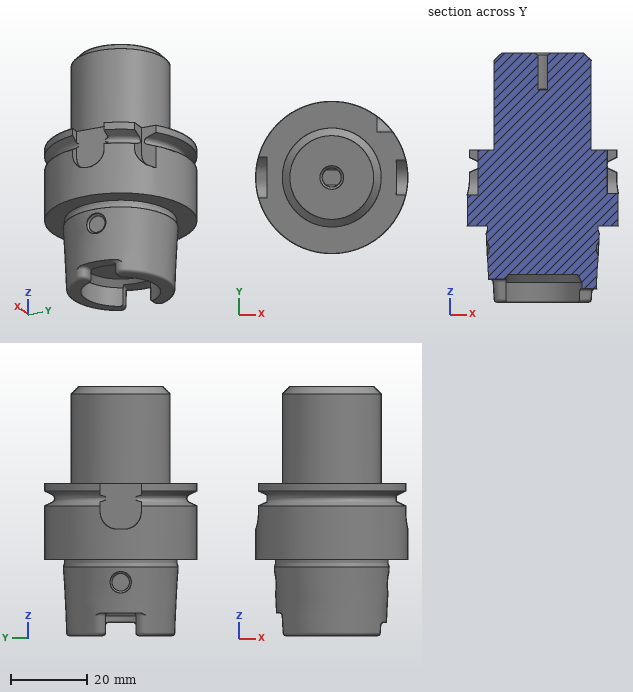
import cadquery as cq
import math

flange_height = 20.0
shank_top = 45.5
taper_bottom = -20.0

shank_diameter = 26.0
shank_chamfer = 2.0
top_hole_diameter = 5.0
top_hole_mouth_diameter = 6.2
top_hole_depth = 10.0
top_hole_floor_width = 3.9

flange_diameter = 40.0
groove_height = 16.05
groove_mouth_half_width = 1.95
groove_diameter = 34.8
groove_flank_angle = 26.0
groove_fillet = 1.0

slot_bottom = 8.0
slot_floor_distance = 17.0
wide_slot_width = 10.8
wide_slot_corner_radius = 4.5
narrow_slot_width = 9.2
notch_corner = 11.9

neck_diameter = 29.6
neck_height = 1.0
taper_diameter = 30.2
taper_start = -2.0
taper_ratio = 10.0
taper_end_radius = 0.8
bore_diameter = 21.0
bore_straight_depth = 5.25
bore_cone_height = 2.0
bore_cone_angle = 30.0

side_hole_floor_diameter = 4.6
side_hole_mouth_diameter = 5.6
side_hole_height = -5.95

drive_slot_width = 8.0
drive_slot_mouth_radius = 1.85
drive_slot_top_radius = 0.8
drive_slot_flare_length = 2.5
left_drive_slot_top = -14.0
right_drive_slot_top = -16.5

flange_radius = flange_diameter / 2
overshoot = 5.0
radius_slope = 0.5 / taper_ratio


def taper_radius(z):
    return taper_diameter / 2 - (taper_start - z) * radius_slope


def turned_body():
    """Solid shank, flange and taper, turned about Z."""
    profile = (
        cq.Workplane("XZ")
        .moveTo(0, taper_bottom)
        .lineTo(taper_radius(taper_bottom), taper_bottom)
        .lineTo(taper_diameter / 2, taper_start)
        .lineTo(neck_diameter / 2, -neck_height)
        .lineTo(neck_diameter / 2, 0)
        .lineTo(flange_radius, 0)
        .lineTo(flange_radius, flange_height)
        .lineTo(shank_diameter / 2, flange_height)
        .lineTo(shank_diameter / 2, shank_top)
        .lineTo(0, shank_top)
        .close()
    )
    body = profile.revolve(360, (0, 0, 0), (0, 1, 0))
    return body.faces(">Z").edges().chamfer(shank_chamfer)


def end_bore():
    """Bore in the open end of the taper, narrowing in a cone at its inner end."""
    radius = bore_diameter / 2
    cone_start = taper_bottom + bore_straight_depth
    inner_end = cone_start + bore_cone_height
    inner_radius = radius - bore_cone_height * math.tan(math.radians(bore_cone_angle))
    return (
        cq.Workplane("XZ")
        .moveTo(0, taper_bottom)
        .lineTo(radius, taper_bottom)
        .lineTo(radius, cone_start)
        .lineTo(inner_radius, inner_end)
        .lineTo(0, inner_end)
        .close()
        .revolve(360, (0, 0, 0), (0, 1, 0))
    )


def gripper_groove():
    """Ring of V section with a rounded root."""
    root_radius = groove_diameter / 2
    flank_rise = (flange_radius - root_radius) * math.tan(math.radians(groove_flank_angle))
    root_half_width = groove_mouth_half_width - flank_rise
    outer_radius = flange_radius + overshoot
    ring = (
        cq.Workplane("XZ")
        .moveTo(root_radius, groove_height - root_half_width)
        .lineTo(flange_radius, groove_height - groove_mouth_half_width)
        .lineTo(outer_radius, groove_height - groove_mouth_half_width)
        .lineTo(outer_radius, groove_height + groove_mouth_half_width)
        .lineTo(flange_radius, groove_height + groove_mouth_half_width)
        .lineTo(root_radius, groove_height + root_half_width)
        .close()
        .revolve(360, (0, 0, 0), (0, 1, 0))
    )
    root = cq.selectors.RadiusNthSelector(0)
    return ring.edges(root).fillet(groove_fillet)


def rim_slot(x_start, y_center, width, corner_radius):
    """Slot running outward along X, open at the flange top, with rounded bottom corners."""
    length = flange_radius + overshoot - abs(x_start)
    half_width = width / 2
    floor_half_width = half_width - corner_radius
    corner_top = slot_bottom + corner_radius
    slot_top = flange_height + overshoot
    section = (
        cq.Workplane("YZ")
        .workplane(offset=x_start)
        .moveTo(y_center - half_width, slot_top)
        .lineTo(y_center - half_width, corner_top)
        .radiusArc((y_center - floor_half_width, slot_bottom), -corner_radius)
    )
    if floor_half_width > 0:
        section = section.lineTo(y_center + floor_half_width, slot_bottom)
    section = (
        section.radiusArc((y_center + half_width, corner_top), -corner_radius)
        .lineTo(y_center + half_width, slot_top)
        .close()
    )
    return section.extrude(math.copysign(length, x_start))


def top_hole():
    """Blind hole with a conical mouth; two bevels narrow its floor to a strip along X."""
    radius = top_hole_diameter / 2
    bevel = radius - top_hole_floor_width / 2
    mouth_depth = (top_hole_mouth_diameter - top_hole_diameter) / 2
    trough = (
        cq.Workplane("XY")
        .workplane(offset=shank_top - top_hole_depth)
        .rect(top_hole_diameter, top_hole_diameter)
        .extrude(top_hole_depth)
        .edges("|X and <Z")
        .chamfer(bevel)
    )
    bore = cq.Workplane("XY").workplane(offset=shank_top).circle(radius).extrude(-top_hole_depth)
    mouth = cq.Solid.makeCone(
        radius, top_hole_mouth_diameter / 2, mouth_depth, cq.Vector(0, 0, shank_top - mouth_depth)
    )
    return bore.intersect(trough).union(cq.Workplane(mouth))


def side_hole():
    """Shallow conical recess with a flat floor on the +X side of the taper."""
    radius = side_hole_floor_diameter / 2
    mouth_radius = side_hole_mouth_diameter / 2
    surface = taper_radius(side_hole_height)
    rim = math.sqrt(surface**2 - mouth_radius**2)
    floor = rim - (mouth_radius - radius)
    return (
        cq.Workplane("XZ")
        .moveTo(floor, side_hole_height)
        .lineTo(floor, side_hole_height + radius)
        .lineTo(rim, side_hole_height + mouth_radius)
        .lineTo(surface + overshoot, side_hole_height + mouth_radius)
        .lineTo(surface + overshoot, side_hole_height)
        .close()
        .revolve(360, (0, side_hole_height, 0), (1, side_hole_height, 0))
    )


def drive_slot(slot_top):
    """Slot on the +X side whose walls roll outward into the taper surface."""
    half_width = drive_slot_width / 2
    radius = drive_slot_mouth_radius
    end_radius = taper_radius(taper_bottom)
    arc_y = half_width + radius
    arc_x = math.sqrt((end_radius - radius) ** 2 - arc_y**2)
    outward = math.atan2(arc_y, arc_x)
    middle_angle = (outward - math.pi / 2) / 2

    def arc_point(angle, side):
        return (arc_x + radius * math.cos(angle), side * (arc_y + radius * math.sin(angle)))

    tangent_x, tangent_y = arc_point(outward, 1)
    flare_x = tangent_x - drive_slot_flare_length * math.sin(outward)
    flare_y = tangent_y + drive_slot_flare_length * math.cos(outward)
    far_x = end_radius + overshoot
    lean = math.degrees(math.atan(radius_slope / math.cos(outward)))
    profile = (
        cq.Workplane("XY")
        .workplane(offset=taper_bottom - overshoot)
        .moveTo(0, -half_width)
        .lineTo(arc_x, -half_width)
        .threePointArc(arc_point(middle_angle, -1), arc_point(outward, -1))
        .lineTo(flare_x, -flare_y)
        .lineTo(far_x, -flare_y)
        .lineTo(far_x, flare_y)
        .lineTo(flare_x, flare_y)
        .lineTo(tangent_x, tangent_y)
        .threePointArc(arc_point(middle_angle, 1), (arc_x, half_width))
        .lineTo(0, half_width)
        .close()
    )
    cutter_height = 2 * (slot_top - taper_bottom + overshoot)
    cutter = profile.extrude(cutter_height).rotate(
        (end_radius, 0, taper_bottom), (end_radius, 1, taper_bottom), lean
    )
    block_width = 2 * flange_diameter
    below_top = (
        cq.Workplane("XY").workplane(offset=slot_top).rect(block_width, block_width).extrude(-cutter_height)
    )
    return cutter.intersect(below_top).faces(">Z").edges().fillet(drive_slot_top_radius)


def on_left(cutter):
    """Turn a +X side cutter over to the -X side."""
    return cutter.rotate((0, 0, 0), (0, 0, 1), 180)


narrow_radius = narrow_slot_width / 2
notch_center = notch_corner + narrow_radius
result = turned_body().cut(drive_slot(right_drive_slot_top))
result = result.cut(on_left(drive_slot(left_drive_slot_top)))
result = result.faces("<Z").edges().fillet(taper_end_radius)
result = result.cut(end_bore()).cut(top_hole())
result = result.cut(side_hole()).cut(on_left(side_hole()))
result = result.cut(rim_slot(-slot_floor_distance, 0, wide_slot_width, wide_slot_corner_radius))
result = result.cut(rim_slot(slot_floor_distance, 0, narrow_slot_width, narrow_radius))
result = result.cut(rim_slot(notch_corner, notch_center, narrow_slot_width, narrow_radius))
result = result.cut(gripper_groove())